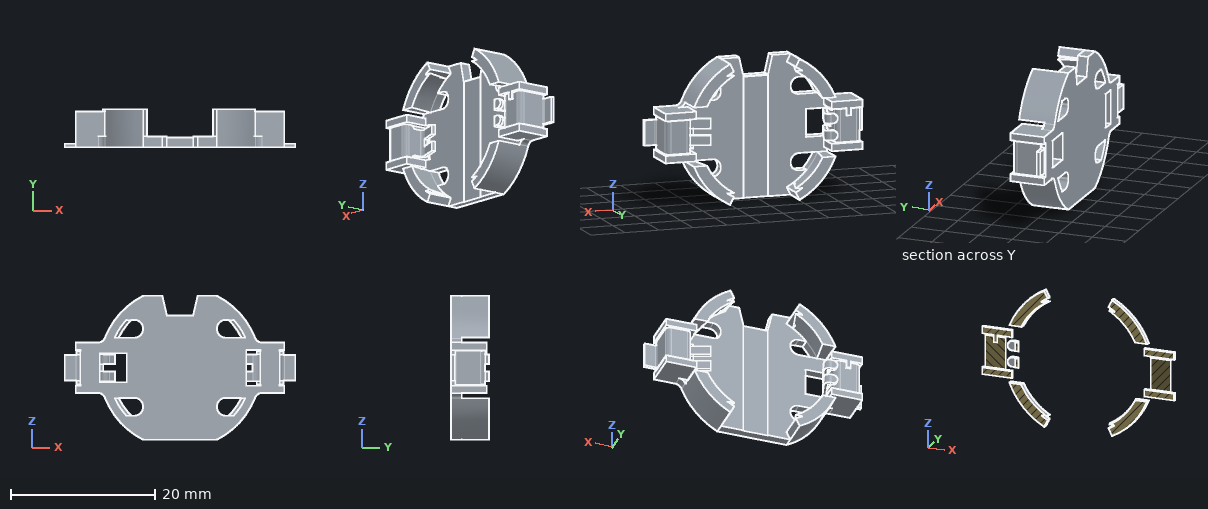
import cadquery as cq
import math


overall_length = 32.0
overall_depth = 5.3
overall_height = 20.0
half_height = overall_height / 2
disc_radius = 11.23
cavity_radius = 10.0
plate_thickness = 1.55
flat_half_width = math.sqrt(disc_radius**2 - half_height**2)

notch_top_width = 4.85
notch_floor_width = 3.6
notch_depth = 2.72
relief_depth = 0.1
relief_chamfer = 0.1

wall_start_z = 4.2
slot_inner_x = 5.15
slot_height = 2.43
slot_end_z = wall_start_z + slot_height
slot_corner_radius = 1.15
snap_reach = 0.5
snap_end_z = 8.32

arm_half_length = 14.5
arm_half_height = 3.52
arm_depth = 5.0
arm_fillet = 0.95
arm_inner_x = 10.0
channel_half_height = 2.45
channel_floor_x = 13.82
core_inner_x = 11.15
left_window_inner_x = 7.4
left_window_half_height = 2.0
right_window_inner_x = 9.2

post_start_x = 12.15
post_thickness = 0.65
post_bottom_z = 1.4

sheet = 0.5
inside_bend = 0.15
bend = inside_bend + sheet / 2
contact_width = 4.7
tab_width = 3.6
tab_root_y = 0.58
contact_top_y = 4.77
spring_width = 3.75
spring_gap = 1.02
spring_bottom_y = 1.2
shoulder_y = 3.35
shoulder_fillet = (contact_width - spring_width) / 2
core_top_y = contact_top_y - sheet

tab_y = sheet / 2
outer_leg_x = -channel_floor_x - sheet / 2
top_y = contact_top_y - sheet / 2
inner_leg_x = -core_inner_x + sheet / 2

leg_end_y = 2.55
steep_angle = 74.0
finger_tip_x = -10.72
finger_tip_y = overall_depth - sheet / 2
finger_tip_radius = 0.67

slope_bend = 0.55
slope_angle = 20.0
slope_tip_x = -7.05
slope_gap_x = -10.05


def block(x_range, y_range, z_range):
    """Box between two X, two Y and two Z values."""
    (x0, x1), (y0, y1), (z0, z1) = x_range, y_range, z_range
    return cq.Workplane("XY").box(x1 - x0, y1 - y0, z1 - z0, centered=False).translate((x0, y0, z0))


def centred(height):
    """Z range of the given height about Z = 0."""
    return (-height / 2, height / 2)


def face_plane(y=0.0):
    """XZ plane at the given Y, with its normal toward +Y and its first axis toward -X."""
    return cq.Workplane(cq.Plane(origin=(0, y, 0), xDir=(-1, 0, 0), normal=(0, 1, 0)))


def four_quarters(body):
    """The body and its mirror images across X = 0 and Z = 0."""
    pair = body.union(body.mirror("YZ"))
    return pair.union(pair.mirror("XY"))


def make_plate():
    disc = face_plane().circle(disc_radius).extrude(plate_thickness)
    disc = disc.intersect(
        block((-disc_radius, disc_radius), (0, plate_thickness), (-half_height, half_height))
    )
    arms = block(
        (-arm_half_length, arm_half_length), (0, plate_thickness), (-arm_half_height, arm_half_height)
    )
    arm_root_x = math.sqrt(disc_radius**2 - arm_half_height**2)
    plate = disc.union(arms)
    for x in (-arm_root_x, arm_root_x):
        for z in (-arm_half_height, arm_half_height):
            root = cq.selectors.NearestToPointSelector((x, plate_thickness / 2, z))
            plate = plate.edges("|Y").edges(root).fillet(arm_fillet)
    notch = face_plane().polyline([
        (-notch_top_width / 2, half_height),
        (notch_top_width / 2, half_height),
        (notch_floor_width / 2, half_height - notch_depth),
        (-notch_floor_width / 2, half_height - notch_depth),
    ]).close().extrude(plate_thickness)
    relief = block(
        centred(notch_floor_width),
        (plate_thickness - relief_depth, plate_thickness),
        (-half_height, half_height - notch_depth),
    )
    floor_edge = cq.selectors.NearestToPointSelector(
        (0, plate_thickness - relief_depth, half_height - notch_depth)
    )
    return plate.cut(notch).cut(relief).edges("|X").edges(floor_edge).chamfer(relief_chamfer)


def make_wall():
    """Ring sector from the wall's flat lower end to its radial upper end."""
    ring = face_plane().circle(disc_radius).circle(cavity_radius).extrude(overall_depth)
    slope = half_height / flat_half_width
    sector = face_plane().polyline([
        (-wall_start_z / slope, wall_start_z),
        (-disc_radius, wall_start_z),
        (-disc_radius, disc_radius * slope),
    ]).close().extrude(overall_depth)
    return ring.intersect(sector)


def make_slot():
    slot = block((slot_inner_x, disc_radius), (0, plate_thickness), (wall_start_z, slot_end_z))
    slot = slot.edges("|Y and <X").fillet(slot_corner_radius)
    return slot.intersect(face_plane().circle(cavity_radius).extrude(plate_thickness))


def make_snap():
    """Wedge inside a wall that leans inward toward the open side."""
    snap_depth = overall_depth - plate_thickness
    band = block((0, disc_radius), (plate_thickness, overall_depth), (wall_start_z, snap_end_z))
    opening = cq.Workplane(cq.Solid.makeCone(
        cavity_radius,
        cavity_radius - snap_reach,
        snap_depth,
        pnt=cq.Vector(0, plate_thickness, 0),
        dir=cq.Vector(0, 1, 0),
    ))
    limit = face_plane(plate_thickness).circle(cavity_radius).extrude(snap_depth)
    return band.intersect(limit).cut(opening)


def make_arm_block():
    """Left arm above the plate: two side walls and the core that the contact clips over."""
    arm = block((-arm_half_length, -arm_inner_x), (0, arm_depth), (-arm_half_height, arm_half_height))
    channel = block(
        (-arm_half_length, -channel_floor_x), (0, arm_depth), (-channel_half_height, channel_half_height)
    )
    core_top = block(
        (-arm_half_length, -arm_inner_x), (core_top_y, arm_depth), (-channel_half_height, channel_half_height)
    )
    pocket = block(
        (-core_inner_x, -arm_inner_x), (plate_thickness, arm_depth), (-channel_half_height, channel_half_height)
    )
    arm = arm.cut(channel).cut(core_top).cut(pocket)
    for x in (-channel_floor_x, -core_inner_x):
        core_edge = cq.selectors.NearestToPointSelector((x, core_top_y, 0))
        arm = arm.edges("|Z").edges(core_edge).fillet(inside_bend)
    return arm


def make_post():
    return block(
        (-post_start_x - post_thickness, -post_start_x),
        (core_top_y, arm_depth),
        (post_bottom_z, channel_half_height),
    )


def make_housing():
    plate = make_plate().cut(four_quarters(make_slot()))
    for side in (-1, 1):
        ends = sorted((side * channel_floor_x, side * arm_half_length))
        plate = plate.cut(block(ends, (0, plate_thickness), (-channel_half_height, channel_half_height)))
    arm = make_arm_block()
    body = plate.union(four_quarters(make_wall().union(make_snap())))
    body = body.union(arm).union(arm.mirror("YZ")).union(make_post())
    left_window = block(
        (-core_inner_x, -left_window_inner_x),
        (0, plate_thickness),
        (-left_window_half_height, left_window_half_height),
    )
    right_window = block(
        (right_window_inner_x, core_inner_x),
        (0, plate_thickness),
        (-channel_half_height, channel_half_height),
    )
    return body.cut(left_window).cut(right_window)


def bent_strip(points, width, radius):
    """Sheet of the given width that follows the points, with rounded bends, centred on Z = 0."""
    path = cq.Wire.makePolygon([cq.Vector(x, y, 0) for x, y in points])
    if len(points) > 2:
        corners = [v for v in path.Vertices() if (v.Center() - path.startPoint()).Length > 3.2e-07
                   and (v.Center() - path.endPoint()).Length > 3.2e-07]
        path = path.fillet(radius, corners)
    start = cq.Plane(origin=path.startPoint(), xDir=(0, 0, 1), normal=path.tangentAt(0))
    return cq.Workplane(start).rect(width, sheet).sweep(cq.Workplane(path))


def spring_corner_y(radius, rise_angle):
    """Height of the sharp corner under the bend that turns the inner leg up into the fingers."""
    turn_y = spring_bottom_y + sheet / 2 + radius
    return turn_y - radius * math.tan(math.radians((90 + rise_angle) / 2))


def make_clip():
    """Solder tab, outer leg, top and inner leg, down to the start of the spring."""
    clip = bent_strip([
        (-overall_length / 2, tab_y),
        (outer_leg_x, tab_y),
        (outer_leg_x, top_y),
        (inner_leg_x, top_y),
        (inner_leg_x, leg_end_y),
    ], contact_width, bend)
    inner_leg = (inner_leg_x - sheet / 2, inner_leg_x + sheet / 2)
    for side in (-1, 1):
        beside_tab = sorted((side * tab_width / 2, side * contact_width / 2))
        clip = clip.cut(block((-overall_length / 2, -channel_floor_x), (0, tab_root_y), beside_tab))
        beside_leg = sorted((side * spring_width / 2, side * contact_width / 2))
        relief = block(inner_leg, (leg_end_y, shoulder_y), beside_leg)
        inner_edge = cq.selectors.NearestToPointSelector((inner_leg_x, shoulder_y, side * spring_width / 2))
        clip = clip.cut(relief.edges("|X").edges(inner_edge).fillet(0.95 * shoulder_fillet))
    return clip


def make_left_contact():
    corner_y = spring_corner_y(bend, steep_angle)
    finger_run = (finger_tip_y - corner_y) / math.tan(math.radians(steep_angle))
    fingers = bent_strip([
        (inner_leg_x, leg_end_y),
        (inner_leg_x, corner_y),
        (inner_leg_x + finger_run, finger_tip_y),
        (finger_tip_x, finger_tip_y),
    ], spring_width, bend)
    fingers = fingers.cut(block((-core_inner_x, 0), (0, overall_depth), centred(spring_gap)))
    tip_box = cq.selectors.BoxSelector(
        (finger_tip_x - sheet, contact_top_y, -spring_width),
        (finger_tip_x + sheet, overall_depth, spring_width),
    )
    fingers = fingers.edges("|Y").edges(tip_box).fillet(finger_tip_radius)
    return make_clip().union(fingers).cut(make_post())


def make_right_contact():
    corner_y = spring_corner_y(slope_bend, slope_angle)
    finger_rise = (slope_tip_x - inner_leg_x) * math.tan(math.radians(slope_angle))
    spring = bent_strip([
        (inner_leg_x, leg_end_y),
        (inner_leg_x, corner_y),
        (slope_tip_x, corner_y + finger_rise),
    ], spring_width, slope_bend)
    gap = block((slope_gap_x, 0), (0, overall_depth), centred(spring_gap))
    return make_clip().union(spring.cut(gap)).mirror("YZ")


housing = make_housing()
left_contact = make_left_contact()
right_contact = make_right_contact()

result = cq.Compound.makeCompound([housing.val(), left_contact.val(), right_contact.val()])